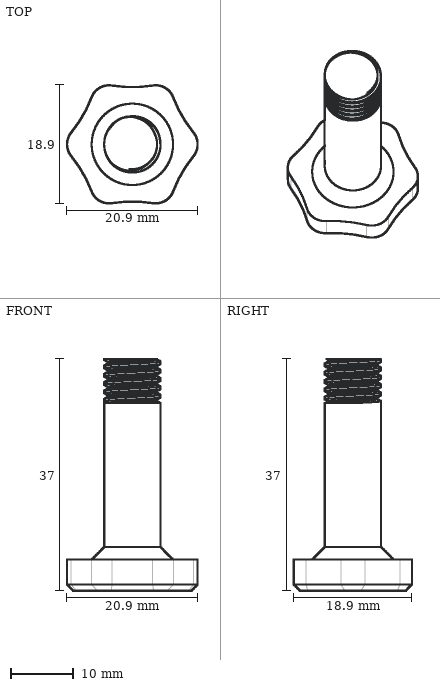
import cadquery as cq
import math

LOBE_COUNT = 6
LOBE_RADIUS = 3.0
LOBE_CENTRE_DISTANCE = 7.44
HOLLOW_RADIUS = 20.0
HEAD_HEIGHT = 5.0
HEAD_CHAMFER = 1.0

SHANK_RADIUS = 4.5
CONE_HEIGHT = 2.0
CONE_BASE_RADIUS = SHANK_RADIUS + CONE_HEIGHT
TOTAL_HEIGHT = 37.0

THREAD_LENGTH = 7.0
THREAD_BASE = TOTAL_HEIGHT - THREAD_LENGTH
PITCH = 1.33
ROOT_RADIUS = 3.95
ROOT_WIDTH = 0.3
FLANK_ANGLE = 30.0
GROOVE_TOP = TOTAL_HEIGHT + 0.05
CUTTER_OVERSHOOT = 0.2


def polar_point(radius, angle):
    """Point at a given radius and angle (radians) about the part axis."""
    return radius * math.cos(angle), radius * math.sin(angle)


def turned_solid(profile):
    """Solid turned about Z from (radius, height) points."""
    return cq.Workplane("YZ").polyline(profile).close().revolve(360, (0, 0), (0, 1))


def build_head():
    """Lobed head with a chamfered bottom edge."""
    sector = 2 * math.pi / LOBE_COUNT
    half_sector = sector / 2

    half_spacing = LOBE_CENTRE_DISTANCE * math.sin(half_sector)
    centre_gap = LOBE_RADIUS + HOLLOW_RADIUS
    hollow_centre_distance = (
        LOBE_CENTRE_DISTANCE * math.cos(half_sector) + math.sqrt(centre_gap**2 - half_spacing**2)
    )
    hollow_middle_radius = hollow_centre_distance - HOLLOW_RADIUS
    lobe_tip_radius = LOBE_CENTRE_DISTANCE + LOBE_RADIUS

    hollow_x, hollow_y = polar_point(hollow_centre_distance, half_sector)
    share = LOBE_RADIUS / centre_gap
    tangent_x = LOBE_CENTRE_DISTANCE + share * (hollow_x - LOBE_CENTRE_DISTANCE)
    tangent_y = share * hollow_y
    tangent_radius = math.hypot(tangent_x, tangent_y)
    tangent_angle = math.atan2(tangent_y, tangent_x)

    outline = cq.Workplane("XY").moveTo(*polar_point(tangent_radius, -tangent_angle))
    for index in range(LOBE_COUNT):
        lobe_angle = index * sector
        outline = outline.threePointArc(
            polar_point(lobe_tip_radius, lobe_angle),
            polar_point(tangent_radius, lobe_angle + tangent_angle),
        )
        outline = outline.threePointArc(
            polar_point(hollow_middle_radius, lobe_angle + half_sector),
            polar_point(tangent_radius, lobe_angle + sector - tangent_angle),
        )
    return outline.close().extrude(HEAD_HEIGHT).faces("<Z").chamfer(HEAD_CHAMFER)


def build_shank():
    """Plain shank and its foot cone, turned about Z."""
    return turned_solid([
        (0, HEAD_HEIGHT),
        (CONE_BASE_RADIUS, HEAD_HEIGHT),
        (SHANK_RADIUS, HEAD_HEIGHT + CONE_HEIGHT),
        (SHANK_RADIUS, THREAD_BASE),
        (0, THREAD_BASE),
    ])


def build_thread():
    """Threaded end: a cylinder with a helical trapezoidal groove.

    The groove runs out through the top face near the +X side and stops
    square at the shank.
    """
    turns_below_top = math.ceil(THREAD_LENGTH / PITCH)
    turns_above_top = 2
    groove_start = GROOVE_TOP - turns_below_top * PITCH
    groove_length = (turns_below_top + turns_above_top) * PITCH
    mouth_radius = SHANK_RADIUS + CUTTER_OVERSHOOT
    half_root = ROOT_WIDTH / 2
    half_mouth = half_root + (mouth_radius - ROOT_RADIUS) * math.tan(math.radians(FLANK_ANGLE))

    section = [
        (ROOT_RADIUS, groove_start - half_root),
        (mouth_radius, groove_start - half_mouth),
        (mouth_radius, groove_start + half_mouth),
        (ROOT_RADIUS, groove_start + half_root),
    ]
    path = cq.Wire.makeHelix(PITCH, groove_length, ROOT_RADIUS, center=cq.Vector(0, 0, groove_start))
    groove = cq.Workplane("XZ").polyline(section).close().sweep(cq.Workplane(path), isFrenet=True)

    blank_base = THREAD_BASE - THREAD_LENGTH
    blank = turned_solid([
        (0, blank_base),
        (SHANK_RADIUS, blank_base),
        (SHANK_RADIUS, TOTAL_HEIGHT + THREAD_LENGTH),
        (0, TOTAL_HEIGHT + THREAD_LENGTH),
    ])
    trim_size = 4 * SHANK_RADIUS
    trim = (
        cq.Workplane("XY")
        .workplane(offset=THREAD_BASE)
        .rect(trim_size, trim_size)
        .extrude(THREAD_LENGTH)
    )
    return blank.cut(groove).intersect(trim)


result = build_head().union(build_shank()).union(build_thread())